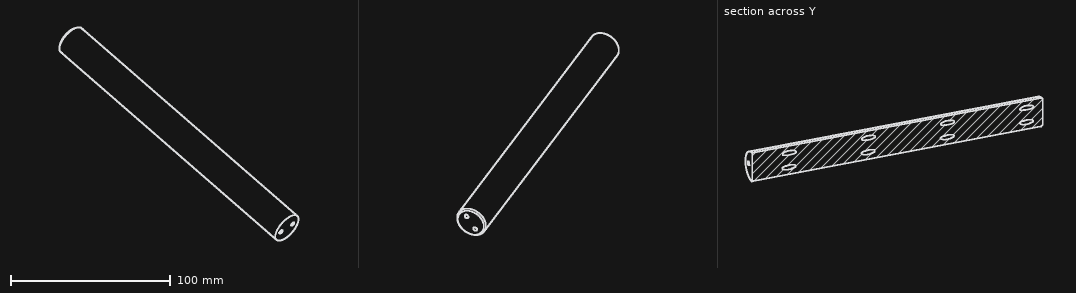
import cadquery as cq

length = 200.0
diameter = 20.0
chamfer = 1.0
hole_diameter = 2.5
hole_offset_y = 3.0
hole_offset_z = 4.0
full_turn = 360
helix_lead = 108.8
twist_angle = full_turn * length / helix_lead
left_end = cq.Workplane("YZ", origin=(-length / 2, 0, 0))

bar = left_end.circle(diameter / 2).extrude(length).faces("<X").chamfer(chamfer)


def twisted_hole(side):
    """Hole through the full bar that winds around the bar axis."""
    return (
        left_end.moveTo(side * hole_offset_y, side * hole_offset_z)
        .circle(hole_diameter / 2)
        .twistExtrude(length, twist_angle)
    )


result = bar
for side in (1, -1):
    result = result.cut(twisted_hole(side))